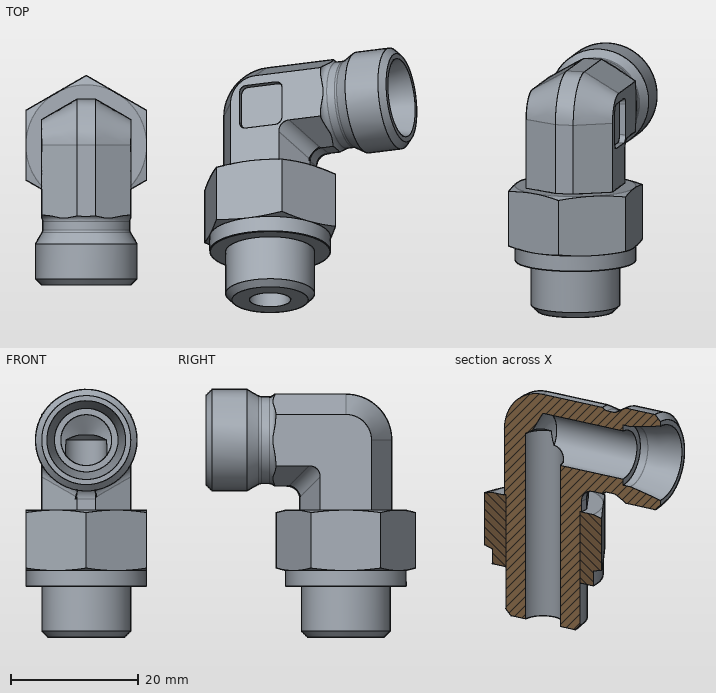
import cadquery as cq
import math

STUD_LENGTH = 8.0
COLLAR_HEIGHT = 2.5
HEX_HEIGHT = 9.5
AXIS_HEIGHT = 31.0
NUT_TOP = STUD_LENGTH + COLLAR_HEIGHT + HEX_HEIGHT

NUT_FLATS = 19.0
NUT_CHAMFER_ANGLE = 15.0
COLLAR_EDGE = 0.1

STUD_DIAMETER = 14.0
STUD_CHAMFER = 1.0

ARM_FLATS = 14.0
ARM_REACH = 7.25
ARM_LENGTH = 11.0
INNER_FILLET = 2.0

PORT_LENGTH = 22.0
PORT_DIAMETER = 16.0
PORT_CHAMFER = 1.0
PORT_BACK = 15.5
PORT_BACK_ANGLE = 30.0
NECK_DIAMETER = 13.7
NECK_FILLET = 1.0
NECK_CONE_FILLET = 0.8

STUD_BORE = 6.5
PORT_BORE = 8.0
DRILL_TIP_ANGLE = 118.0
SEAT_MOUTH = 12.38
SEAT_BORE = 10.0
SEAT_CONE_ANGLE = 24.0
SEAT_DEPTH = 7.0

RECESS_SIZE = 7.1
RECESS_CORNER = 1.1
RECESS_DEPTH = 1.0
RECESS_Y = -1.0
RECESS_BELOW_AXIS = 0.95

PICK_TOLERANCE = 0.01


def tan_deg(angle):
    return math.tan(math.radians(angle))


CENTRE = (0, 0, AXIS_HEIGHT)
PORT_ARM = cq.Plane(CENTRE, xDir=(1, 0, 0), normal=(0, -1, 0))
STUD_ARM = cq.Plane(CENTRE, xDir=(1, 0, 0), normal=(0, 0, -1))
PORT_TURN = cq.Plane(CENTRE, xDir=(1, 0, 0), normal=(0, 0, -1))
STUD_TURN = cq.Plane((0, 0, 0), xDir=(0, 1, 0), normal=(1, 0, 0))



def arm_corners():
    """Half of the arm section (local y >= 0), from the +X flat round to the -X flat."""
    half_width = ARM_FLATS / 2
    corner_reach = ARM_FLATS / math.sqrt(3)
    flat_half = (corner_reach - ARM_REACH) * tan_deg(60)
    shoulder = corner_reach / 2
    return [(half_width, shoulder), (flat_half, ARM_REACH),
            (-flat_half, ARM_REACH), (-half_width, shoulder)]


def arm_prism(plane, length):
    """Straight piece of arm, running out from the crossing of the two axes."""
    upper = arm_corners()
    lower = [(-x, -y) for x, y in upper]
    return cq.Workplane(plane).polyline(upper + lower).close().extrude(length)


def elbow_arms():
    """Vertical and horizontal arm, joined by the rounded outer bend and a filleted inner corner."""
    half_width = ARM_FLATS / 2
    horizontal = arm_prism(PORT_ARM, ARM_LENGTH)
    vertical = arm_prism(STUD_ARM, AXIS_HEIGHT - NUT_TOP)
    half_section = [(half_width, 0)] + arm_corners() + [(-half_width, 0)]
    bend = cq.Workplane(PORT_ARM).polyline(half_section).close().revolve(90, (0, 0), (-1, 0))
    arms = horizontal.union(vertical).union(bend)
    inner_corner = arms.edges().filter(
        lambda edge: edge.Center().y < 0
        and math.isclose(edge.Center().y, edge.Center().z - AXIS_HEIGHT, abs_tol=PICK_TOLERANCE))
    return inner_corner.fillet(INNER_FILLET)


def turned(plane, points):
    """Solid turned about the local y axis of the plane; points are (radius, position)."""
    return cq.Workplane(plane).polyline(points).close().revolve(360, (0, 0), (0, 1))


def arm_end():
    """Concave round from the arm section down to the neck, trimmed by the flats of the arm."""
    radius = NECK_DIAMETER / 2
    middle = NECK_FILLET * (1 - math.sqrt(0.5))
    round_end = (
        cq.Workplane(PORT_TURN)
        .moveTo(0, ARM_LENGTH)
        .lineTo(radius + NECK_FILLET, ARM_LENGTH)
        .threePointArc((radius + middle, ARM_LENGTH + middle), (radius, ARM_LENGTH + NECK_FILLET))
        .lineTo(0, ARM_LENGTH + NECK_FILLET)
        .close()
        .revolve(360, (0, 0), (0, 1))
    )
    return round_end.intersect(arm_prism(PORT_ARM, ARM_LENGTH + NECK_FILLET))


def port():
    """Neck, back cone and chamfered cylinder of the connecting port."""
    neck_radius = NECK_DIAMETER / 2
    port_radius = PORT_DIAMETER / 2
    cone_start = PORT_BACK - (port_radius - neck_radius) / tan_deg(PORT_BACK_ANGLE)
    body = turned(PORT_TURN, [
        (0, ARM_LENGTH),
        (neck_radius, ARM_LENGTH),
        (neck_radius, cone_start),
        (port_radius, PORT_BACK),
        (port_radius, PORT_LENGTH - PORT_CHAMFER),
        (port_radius - PORT_CHAMFER, PORT_LENGTH),
        (0, PORT_LENGTH),
    ])
    cone_foot = body.edges("%CIRCLE").filter(
        lambda edge: math.isclose(edge.Center().y, -cone_start, abs_tol=PICK_TOLERANCE))
    return cone_foot.fillet(NECK_CONE_FILLET)


def stud():
    """Chamfered stud, running up through the nut to the foot of the vertical arm."""
    radius = STUD_DIAMETER / 2
    return (cq.Workplane("XY").circle(radius).extrude(NUT_TOP)
            .faces("<Z").chamfer(STUD_CHAMFER))


def stud_bore():
    """Blind bore from the stud end, with its drill tip starting at the port axis."""
    radius = STUD_BORE / 2
    tip = radius / tan_deg(DRILL_TIP_ANGLE / 2)
    return turned(STUD_TURN, [(0, 0), (radius, 0), (radius, AXIS_HEIGHT), (0, AXIS_HEIGHT + tip)])


def port_bore():
    """Cone seat, tube socket and blind bore, with its drill tip starting at the stud axis."""
    radius = PORT_BORE / 2
    tip = radius / tan_deg(DRILL_TIP_ANGLE / 2)
    seat_cone = (SEAT_MOUTH - SEAT_BORE) / 2 / tan_deg(SEAT_CONE_ANGLE / 2)
    return turned(PORT_TURN, [
        (0, -tip),
        (radius, 0),
        (radius, PORT_LENGTH - SEAT_DEPTH),
        (SEAT_BORE / 2, PORT_LENGTH - SEAT_DEPTH),
        (SEAT_BORE / 2, PORT_LENGTH - seat_cone),
        (SEAT_MOUTH / 2, PORT_LENGTH),
        (0, PORT_LENGTH),
    ])


def marking_recess():
    """Block centred on the -X flat, so that half of its thickness sinks into the arm."""
    return (cq.Workplane("XY")
            .box(2 * RECESS_DEPTH, RECESS_SIZE, RECESS_SIZE)
            .edges("|X").fillet(RECESS_CORNER)
            .translate((-ARM_FLATS / 2, RECESS_Y, AXIS_HEIGHT - RECESS_BELOW_AXIS)))


def make_elbow():
    outside = elbow_arms().union(arm_end()).union(port()).union(stud())
    return outside.cut(port_bore()).cut(stud_bore()).cut(marking_recess())



def make_locknut():
    """Hexagon chamfered on both ends, with a sealing collar below and a bore for the stud."""
    hex_corner = NUT_FLATS / math.sqrt(3)
    collar_radius = NUT_FLATS / 2
    hex_bottom = STUD_LENGTH + COLLAR_HEIGHT
    chamfer_height = (hex_corner - collar_radius) * tan_deg(NUT_CHAMFER_ANGLE)
    hexagon = (cq.Workplane("XY").workplane(offset=hex_bottom)
               .transformed(rotate=(0, 0, 90))
               .polygon(6, 2 * hex_corner).extrude(HEX_HEIGHT))
    chamfered_blank = turned(STUD_TURN, [
        (0, hex_bottom),
        (collar_radius, hex_bottom),
        (hex_corner, hex_bottom + chamfer_height),
        (hex_corner, NUT_TOP - chamfer_height),
        (collar_radius, NUT_TOP),
        (0, NUT_TOP),
    ])
    collar = (cq.Workplane("XY").workplane(offset=STUD_LENGTH)
              .circle(collar_radius).extrude(COLLAR_HEIGHT)
              .faces("<Z").chamfer(COLLAR_EDGE))
    bore = cq.Workplane("XY").circle(STUD_DIAMETER / 2).extrude(NUT_TOP)
    return hexagon.intersect(chamfered_blank).union(collar).cut(bore)


elbow = make_elbow()
locknut = make_locknut()
result = cq.Compound.makeCompound([elbow.val(), locknut.val()])